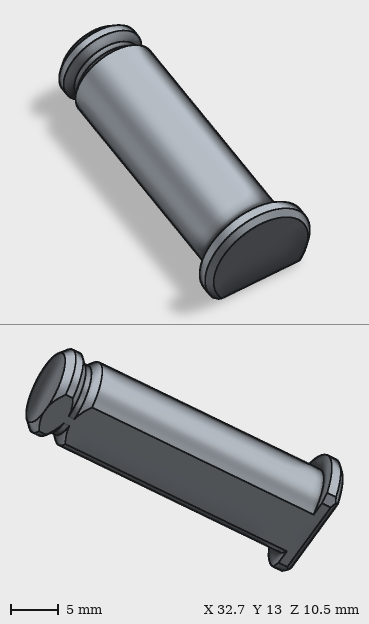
import cadquery as cq

length = 32.7
height = 10.45
shank_radius = 9.65 / 2
groove_radius = 8.0 / 2
head_radius = 12.98 / 2
head_thickness = 1.73
head_chamfer = 0.65
corner_chamfer = 0.7
flat_depth = height - head_radius

end_chamfer = shank_radius - groove_radius
rim_width = 0.88
groove_floor = 0.7

rim_end = end_chamfer + rim_width
floor_start = rim_end + end_chamfer
floor_end = floor_start + groove_floor
shank_start = floor_end + end_chamfer
head_start = length - head_thickness


def revolved_shank():
    """Chamfered shank with a V-sided retaining groove."""
    profile = [
        (0, 0),
        (0, groove_radius),
        (end_chamfer, shank_radius),
        (rim_end, shank_radius),
        (floor_start, groove_radius),
        (floor_end, groove_radius),
        (shank_start, shank_radius),
        (head_start, shank_radius),
        (head_start, 0),
    ]
    return cq.Workplane("XY").polyline(profile).close().revolve(360, (0, 0, 0), (1, 0, 0))


def cut_flat(body):
    """Remove everything below the flat."""
    keep = cq.Workplane("XY").workplane(offset=-flat_depth).center(length / 2, 0)
    return body.intersect(keep.rect(2 * length, 2 * length).extrude(height))


def flanged_head():
    """Head with a conical outer rim, trimmed lower corners and a beveled flat."""
    disc = cq.Workplane("YZ").workplane(offset=head_start).circle(head_radius).extrude(head_thickness)
    conical_disc = disc.faces(">X").edges().chamfer(head_chamfer)
    trimmed = cut_flat(disc).faces("<Z").edges("|X").chamfer(corner_chamfer)

    bevel = (
        cq.Workplane("XZ")
        .polyline([
            (length, -flat_depth),
            (length - head_chamfer, -flat_depth),
            (length, -flat_depth + head_chamfer),
        ])
        .close()
        .extrude(head_radius, both=True)
    )
    return trimmed.cut(bevel).intersect(conical_disc)


result = cut_flat(revolved_shank()).union(flanged_head())